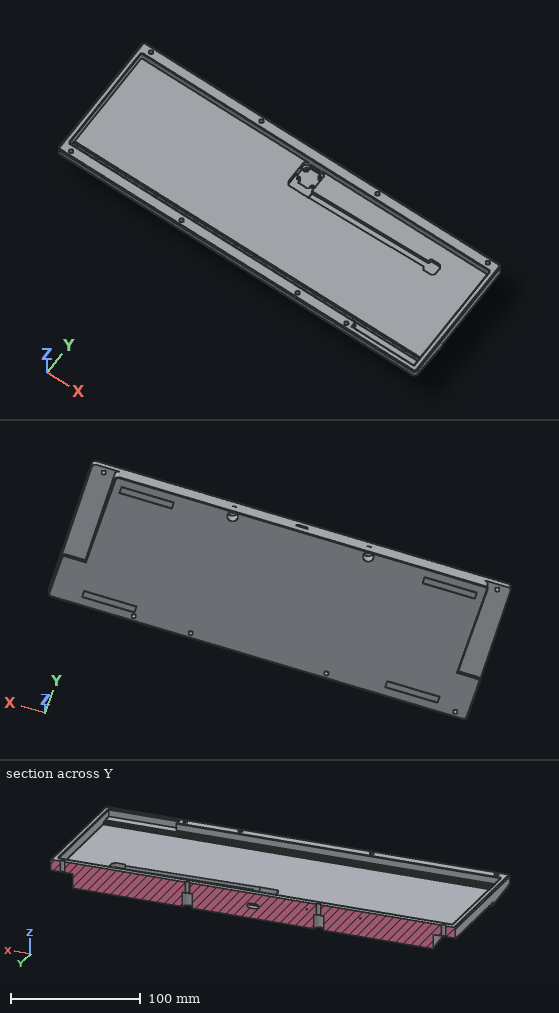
import cadquery as cq
import math

LENGTH = 339
WIDTH = 115.3
HEIGHT = 22.0
TILT = 7
CORNER_RADIUS = 2.7
TOP_CHAMFER = 1.0
UNDERSIDE_CHAMFER = 0.7

FLANGE_HEIGHT = 9.5
RECESS_WIDTH = 18.5
RECESS_FRONT_Y = -20.0

CAVITY_LENGTH = 329.5
CAVITY_WIDTH = 96.3
CAVITY_DEPTH = 8.0
CAVITY_RADIUS = 1.0
CAVITY_CHAMFER = 0.5
STEP_RISE = 0.7
STEP_YS = (-41.5, -43.0, -45.5)

NOTCH_LEFT_X = 106.5
NOTCH_FRONT_Y = -53.0

SCREW_DIAMETER = 3.5
SCREW_Y = 53.2
OUTER_SCREW_X = 159.5
INNER_SCREW_X = 55.0
FRONT_RIGHT_SCREW_X = 101.0
HEAD_BORE_DIAMETER = 8.0

BOARD_POCKET_WIDTH = 19.5
BOARD_POCKET_FRONT_Y = 23.0
BOARD_SHELF_DEPTH = 4.5
BOARD_DEEP_DEPTH = 7.5
BOARD_STEP_Y = 31.2
BOSS_DIAMETER = 3.5
BOSS_INSET = 3.0
BOSS_ROOT_RADIUS = 1.0
BOSS_HOLE_DIAMETER = 1.6
BOSS_HOLE_DEPTH = 3.5
POCKET_RADIUS = 3.22

PORT_LENGTH = 9.0
PORT_HEIGHT = 3.5
PORT_DEPTH = 2.7

CABLE_DEPTH = 3.7
CHANNEL_WIDTH = 6.0
CHANNEL_START_Y = 26.0
CHANNEL_END_Y = 28.5
CONNECTOR_LEFT_X = 119.0
CONNECTOR_LENGTH = 10.5
CONNECTOR_WIDTH = 11.2
CONNECTOR_BLEND_RADIUS = 1.2
CHANNEL_OVERLAP = 3.0

FOOT_LENGTH = 42.5
FOOT_WIDTH = 5.5
FOOT_DEPTH = 0.7
FOOT_X = 122.8
FOOT_EDGE_DISTANCE = 10.2

REAR_Y = WIDTH / 2
CAVITY_REAR_Y = CAVITY_WIDTH / 2
FLOOR_Z = -CAVITY_DEPTH
SLOPE = math.tan(math.radians(TILT))
UNDERSIDE_REAR_Z = -(HEIGHT + UNDERSIDE_CHAMFER * math.sin(math.radians(TILT)))


def underside_z(y):
    """Height of the sloped underside at a given Y."""
    return UNDERSIDE_REAR_Z + (REAR_Y - y) * SLOPE


def box_between(x0, x1, y0, y1, z0, z1):
    """Box given by its limits along each axis."""
    return cq.Workplane("XY").box(x1 - x0, y1 - y0, z1 - z0, centered=False).translate((x0, y0, z0))


def cylinder(diameter, x, y, z0, z1):
    """Upright cylinder between two heights."""
    return cq.Workplane("XY").circle(diameter / 2).extrude(z1 - z0).translate((x, y, z0))


def make_body():
    """T-shaped wedge on a sloped underside, with a thin flange on each side at the rear."""
    inner_x = LENGTH / 2 - RECESS_WIDTH
    front = box_between(-LENGTH / 2, LENGTH / 2, -REAR_Y, RECESS_FRONT_Y, UNDERSIDE_REAR_Z, 0)
    rear = box_between(-inner_x, inner_x, RECESS_FRONT_Y, REAR_Y, UNDERSIDE_REAR_Z, 0)
    below_underside = (
        cq.Workplane("YZ")
        .polyline([
            (-REAR_Y, underside_z(-REAR_Y)),
            (REAR_Y, UNDERSIDE_REAR_Z),
            (-REAR_Y, UNDERSIDE_REAR_Z),
        ])
        .close()
        .extrude(LENGTH / 2, both=True)
    )
    inner_corners = cq.selectors.BoxSelector(
        (-inner_x - CORNER_RADIUS, RECESS_FRONT_Y - CORNER_RADIUS, -HEIGHT),
        (inner_x + CORNER_RADIUS, RECESS_FRONT_Y + CORNER_RADIUS, 0),
    )
    vertical = cq.selectors.StringSyntaxSelector("|Z")
    wedge = front.union(rear)
    wedge = wedge.edges(cq.selectors.SubtractSelector(vertical, inner_corners)).fillet(CORNER_RADIUS)
    wedge = wedge.cut(below_underside)
    wedge = wedge.faces("<Z").edges().chamfer(UNDERSIDE_CHAMFER)
    flange = box_between(
        -LENGTH / 2, LENGTH / 2, RECESS_FRONT_Y - CORNER_RADIUS, REAR_Y, -FLANGE_HEIGHT, 0
    )
    flange = flange.edges("|Z and >Y").fillet(CORNER_RADIUS)
    return wedge.union(flange).faces(">Z").edges().chamfer(TOP_CHAMFER)


def make_cavity():
    """Open tray whose flat floor steps up near the front, with a wider front right corner."""
    half = CAVITY_LENGTH / 2
    cavity = box_between(-half, half, -CAVITY_REAR_Y, CAVITY_REAR_Y, FLOOR_Z, 0)
    cavity = cavity.union(box_between(NOTCH_LEFT_X, half, NOTCH_FRONT_Y, 0, FLOOR_Z, 0))
    cavity = cavity.edges("|Z").edges("<X or >Y").fillet(CAVITY_RADIUS)
    for step_number, step_y in enumerate(STEP_YS, start=1):
        step_z = FLOOR_Z + step_number * STEP_RISE
        cavity = cavity.cut(box_between(-half, half, -REAR_Y, step_y, FLOOR_Z, step_z))
    return cavity


def make_board_pocket():
    """Shelf pocket with a deeper rear part that leaves four screw bosses in its corners."""
    half = BOARD_POCKET_WIDTH / 2
    shelf_z = FLOOR_Z - BOARD_SHELF_DEPTH
    deep_z = FLOOR_Z - BOARD_DEEP_DEPTH
    shelf = box_between(-half, half, BOARD_POCKET_FRONT_Y, CAVITY_REAR_Y, shelf_z, FLOOR_Z)
    shelf = shelf.edges("|Z").fillet(POCKET_RADIUS)

    boss_size = BOSS_INSET + BOSS_DIAMETER / 2
    inner_x = half - boss_size
    inner_y0 = BOARD_STEP_Y + boss_size
    inner_y1 = CAVITY_REAR_Y - boss_size
    deep = box_between(-half, half, inner_y0, inner_y1, deep_z, shelf_z)
    deep = deep.union(box_between(-inner_x, inner_x, BOARD_STEP_Y, CAVITY_REAR_Y, deep_z, shelf_z))
    boss_corners = cq.selectors.BoxSelector(
        (-inner_x - BOSS_INSET / 2, inner_y0 - BOSS_INSET / 2, deep_z),
        (inner_x + BOSS_INSET / 2, inner_y1 + BOSS_INSET / 2, shelf_z),
    )
    deep = deep.edges("|Z").edges(boss_corners).fillet(BOSS_DIAMETER / 2)
    deep = deep.edges("|Z").edges("<X or >X or <Y or >Y").fillet(BOSS_ROOT_RADIUS)

    boss_x = half - BOSS_INSET
    boss_holes = cq.Workplane("XY")
    for x in (-boss_x, boss_x):
        for y in (BOARD_STEP_Y + BOSS_INSET, CAVITY_REAR_Y - BOSS_INSET):
            boss_holes = boss_holes.union(
                cylinder(BOSS_HOLE_DIAMETER, x, y, shelf_z - BOSS_HOLE_DEPTH, shelf_z)
            )
    return shelf.union(deep).union(boss_holes)


def make_port():
    """Round-ended slot from the board pocket out through the rear wall."""
    middle_y = (BOARD_STEP_Y + CAVITY_REAR_Y) / 2
    return (
        cq.Workplane("XZ")
        .slot2D(PORT_LENGTH, PORT_HEIGHT)
        .extrude(-(REAR_Y - middle_y))
        .translate((0, middle_y, FLOOR_Z - PORT_DEPTH))
    )


def make_cable_pocket():
    """Slightly slanted channel from the board pocket to the connector pocket."""
    half = CHANNEL_WIDTH / 2
    start_x = BOARD_POCKET_WIDTH / 2 - CHANNEL_OVERLAP
    end_x = CONNECTOR_LEFT_X + CHANNEL_OVERLAP
    channel = (
        cq.Workplane("XY")
        .polyline([
            (start_x, CHANNEL_START_Y - half),
            (end_x, CHANNEL_END_Y - half),
            (end_x, CHANNEL_END_Y + half),
            (start_x, CHANNEL_START_Y + half),
        ])
        .close()
        .extrude(-CABLE_DEPTH)
        .translate((0, 0, FLOOR_Z))
    )
    connector = box_between(
        CONNECTOR_LEFT_X, CONNECTOR_LEFT_X + CONNECTOR_LENGTH,
        CHANNEL_END_Y - CONNECTOR_WIDTH / 2, CHANNEL_END_Y + CONNECTOR_WIDTH / 2,
        FLOOR_Z - CABLE_DEPTH, FLOOR_Z,
    )
    connector = connector.edges("|Z and >X").fillet(POCKET_RADIUS)
    connector = connector.edges("|Z and <X").fillet(CONNECTOR_BLEND_RADIUS)
    mouth_reach = half + CONNECTOR_BLEND_RADIUS / 3
    mouth = cq.selectors.BoxSelector(
        (CONNECTOR_LEFT_X - half, CHANNEL_END_Y - mouth_reach, FLOOR_Z - CABLE_DEPTH),
        (CONNECTOR_LEFT_X + half, CHANNEL_END_Y + mouth_reach, FLOOR_Z),
    )
    return channel.union(connector).edges("|Z").edges(mouth).fillet(CONNECTOR_BLEND_RADIUS)


def make_screw_holes():
    """Through holes, with head bores below the two inner rear screws."""
    rear_x = (-OUTER_SCREW_X, -INNER_SCREW_X, INNER_SCREW_X, OUTER_SCREW_X)
    front_x = (-OUTER_SCREW_X, -INNER_SCREW_X, INNER_SCREW_X, FRONT_RIGHT_SCREW_X)
    places = [(x, SCREW_Y) for x in rear_x] + [(x, -SCREW_Y) for x in front_x]
    holes = cq.Workplane("XY").pushPoints(places).circle(SCREW_DIAMETER / 2).extrude(-HEIGHT)
    for x in (-INNER_SCREW_X, INNER_SCREW_X):
        holes = holes.union(cylinder(HEAD_BORE_DIAMETER, x, SCREW_Y, -HEIGHT, -FLANGE_HEIGHT))
    return holes


def make_foot_recesses():
    """Four strip recesses sunk square to the sloped underside."""
    feet = cq.Workplane("XY")
    for x in (-FOOT_X, FOOT_X):
        for y in (-REAR_Y + FOOT_EDGE_DISTANCE, REAR_Y - FOOT_EDGE_DISTANCE):
            foot = cq.Workplane("XY").box(FOOT_LENGTH, FOOT_WIDTH, 2 * FOOT_DEPTH)
            foot = foot.rotate((0, 0, 0), (1, 0, 0), -TILT).translate((x, y, underside_z(y)))
            feet = feet.union(foot)
    return feet


tray = make_body().cut(make_cavity())
tray = tray.faces(">Z").wires(cq.selectors.LengthNthSelector(0)).chamfer(CAVITY_CHAMFER)
result = (
    tray
    .cut(make_board_pocket())
    .cut(make_port())
    .cut(make_cable_pocket())
    .cut(make_screw_holes())
    .cut(make_foot_recesses())
)